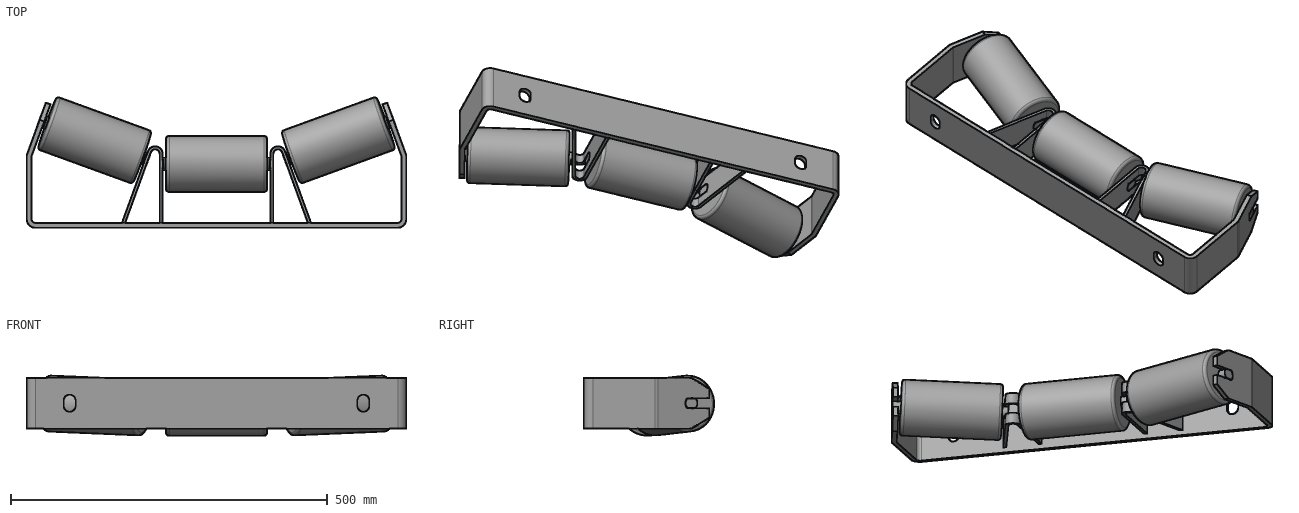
import cadquery as cq
import math


frame_length = 600.0
strip_width = 80.0
frame_thickness = 8.0
corner_radius = 14.0
wing_bend_radius = 12.0
wing_angle = 20.0
wall_height = 112.5
wing_length = 86.6
wing_chamfer_length = 29.0
wing_chamfer_angle = 30.0
shaft_slot_width = 16.0

mounting_slot_spacing = 464.0
mounting_slot_width = 19.0
mounting_slot_length = 27.0

bracket_thickness = 5.0
bracket_width = 50.0
bracket_radius = 12.0
bracket_height = 129.0

roller_diameter = 88.9
roller_length = 160.0
roller_edge_radius = 5.0
shaft_diameter = 20.0
shaft_flats = 15.0
end_gap = 5.0
journal_length = 3.5
center_roller_y = 101.0
center_roller_z = 33.0
side_roller_y = 138.47

half_length = frame_length / 2
mid_z = strip_width / 2
lean_sin = math.sin(math.radians(wing_angle))
lean_cos = math.cos(math.radians(wing_angle))

bend_x = -(roller_length / 2 + end_gap + bracket_radius)
bend_y = bracket_height - bracket_radius

along_x, along_y = lean_sin, lean_cos
outward_x, outward_y = -lean_cos, lean_sin

leg_to_center = bracket_radius + end_gap + roller_length / 2
climb = (side_roller_y - bend_y - leg_to_center * outward_y) / along_y
side_roller_x = bend_x + leg_to_center * outward_x + climb * along_x

leg_reach = roller_length / 2 + end_gap + bracket_thickness
wing_plane_x = -half_length + wing_bend_radius * (1 - lean_cos)
wing_plane_y = wall_height + wing_bend_radius * lean_sin
wing_reach = (wing_plane_x - side_roller_x) * outward_x + (wing_plane_y - side_roller_y) * outward_y

rise = mid_z - center_roller_z
wing_seat = wing_reach - frame_thickness / 2
leg_seat = leg_reach - bracket_thickness / 2
side_roller_tilt = math.degrees(math.asin(rise / (wing_seat + leg_seat)))
side_roller_z = center_roller_z + rise * leg_seat / (wing_seat + leg_seat)


def bent_sheet(path, width, thickness):
    """Sweep the cross-section of a strip along a path in the XY plane."""
    start = path.val().startPoint()
    direction = path.val().tangentAt(0)
    section_plane = cq.Plane(origin=start, xDir=(0, 0, 1), normal=direction)
    section = cq.Workplane(section_plane).rect(width, thickness)
    return section.sweep(path)


def shaft_slot(seat_plane, length, depth):
    """Open slot for a shaft end: round seat about the plane's origin, open along its X."""
    clearance = (shaft_slot_width - shaft_flats) / 2
    seat_radius = shaft_diameter / 2 + clearance
    half_width = shaft_slot_width / 2
    seat_x = -math.sqrt(seat_radius**2 - half_width**2)
    return (
        cq.Workplane(seat_plane)
        .moveTo(length, -half_width)
        .lineTo(seat_x, -half_width)
        .threePointArc((-seat_radius, 0), (seat_x, half_width))
        .lineTo(length, half_width)
        .close()
        .extrude(depth)
    )


def leaning_plane(reach, z):
    """Plane square to the left side roller at a reach along its axis, facing the wing."""
    return cq.Plane(
        origin=(side_roller_x + reach * outward_x, side_roller_y + reach * outward_y, z),
        xDir=(along_x, along_y, 0),
        normal=(outward_x, outward_y, 0),
    )


def mirrored(body):
    """Copy a body of the left side to the right side."""
    return body.mirror("YZ")


def wing_tool(points):
    """Prism through the left wing; points are (distance along the wing, Z)."""
    plane = cq.Plane(
        origin=(wing_plane_x, wing_plane_y, 0),
        xDir=(along_x, along_y, 0),
        normal=(-outward_x, -outward_y, 0),
    )
    depth = 2 * frame_thickness
    return cq.Workplane(plane).polyline(points).close().extrude(depth, both=True)


def make_half_frame():
    corner_mid = corner_radius - frame_thickness / 2
    bend_mid = wing_bend_radius - frame_thickness / 2
    wall_x = -half_length + frame_thickness / 2
    wing_x = wall_x + bend_mid * (1 - lean_cos)
    path = (
        cq.Workplane("XY", origin=(0, 0, mid_z))
        .moveTo(0, frame_thickness / 2)
        .lineTo(-half_length + corner_radius, frame_thickness / 2)
        .tangentArcPoint((wall_x, corner_radius), relative=False)
        .lineTo(wall_x, wall_height)
        .tangentArcPoint((wing_x, wall_height + bend_mid * lean_sin), relative=False)
        .line(wing_length * along_x, wing_length * along_y)
        .wire()
    )
    half = bent_sheet(path, strip_width, frame_thickness)

    chamfer_height = wing_chamfer_length * math.tan(math.radians(wing_chamfer_angle))
    chamfer_start = wing_length - wing_chamfer_length
    for edge_z, step in ((0, chamfer_height), (strip_width, -chamfer_height)):
        corner = [(chamfer_start, edge_z), (wing_length, edge_z), (wing_length, edge_z + step)]
        half = half.cut(wing_tool(corner))

    half = half.cut(shaft_slot(leaning_plane(wing_reach, mid_z), wing_length, -frame_thickness))

    mounting_slot = (
        cq.Workplane("XZ", origin=(-mounting_slot_spacing / 2, 0, mid_z))
        .slot2D(mounting_slot_length, mounting_slot_width, 90)
        .extrude(-frame_thickness)
    )
    return half.cut(mounting_slot)


def make_roller(outer_reach, inner_reach):
    """Roller with its shaft, centred on the origin along X; the outer end points to -X."""
    barrel = (
        cq.Workplane("YZ", origin=(-roller_length / 2, 0, 0))
        .circle(roller_diameter / 2)
        .extrude(roller_length)
        .edges()
        .fillet(roller_edge_radius)
    )
    shoulder = roller_length / 2 + journal_length
    journal = (
        cq.Workplane("YZ", origin=(-shoulder, 0, 0))
        .circle(shaft_diameter / 2)
        .extrude(2 * shoulder)
    )
    flat_stock = (
        cq.Workplane("YZ", origin=(-outer_reach, 0, 0))
        .rect(shaft_diameter, shaft_flats)
        .extrude(outer_reach + inner_reach)
    )
    ends = (
        cq.Workplane("YZ", origin=(-outer_reach, 0, 0))
        .circle(shaft_diameter / 2)
        .extrude(outer_reach + inner_reach)
        .intersect(flat_stock)
    )
    return barrel.union(journal).union(ends)


center_roller = make_roller(leg_reach, leg_reach).translate((0, center_roller_y, center_roller_z))
left_roller = (
    make_roller(wing_reach, leg_reach)
    .rotate((0, 0, 0), (0, 1, 0), side_roller_tilt)
    .rotate((0, 0, 0), (0, 0, 1), -wing_angle)
    .translate((side_roller_x, side_roller_y, side_roller_z))
)


def make_left_bracket():
    bend_mid = bracket_radius - bracket_thickness / 2
    leg_top_x = bend_x + bend_mid * outward_x
    leg_top_y = bend_y + bend_mid * outward_y
    leg_length = leg_top_y / along_y
    path = (
        cq.Workplane("XY", origin=(0, 0, center_roller_z))
        .moveTo(bend_x + bend_mid, frame_thickness)
        .lineTo(bend_x + bend_mid, bend_y)
        .tangentArcPoint((leg_top_x, leg_top_y), relative=False)
        .line(-leg_length * along_x, -leg_length * along_y)
        .wire()
    )
    base = cq.Workplane("XY").box(
        frame_length, 2 * frame_thickness, strip_width, centered=(True, True, False)
    )
    bracket = bent_sheet(path, bracket_width, bracket_thickness).cut(base)

    upright_plane = cq.Plane(
        origin=(-leg_reach, center_roller_y, center_roller_z), xDir=(0, 1, 0), normal=(1, 0, 0)
    )
    bend_gap = cq.Workplane("XY", origin=(bend_x, bend_y, center_roller_z)).box(
        2 * bracket_radius, bracket_radius, shaft_slot_width, centered=(True, False, True)
    )
    for seat_plane in (upright_plane, leaning_plane(-leg_reach, center_roller_z)):
        bracket = bracket.cut(shaft_slot(seat_plane, bracket_height, bracket_thickness))
    return bracket.cut(bend_gap)


half_frame = make_half_frame()
frame = half_frame.union(mirrored(half_frame))
left_bracket = make_left_bracket()

bodies = [frame, center_roller]
for left_body in (left_bracket, left_roller):
    bodies += [left_body, mirrored(left_body)]

result = cq.Compound.makeCompound([body.solids().val() for body in bodies])